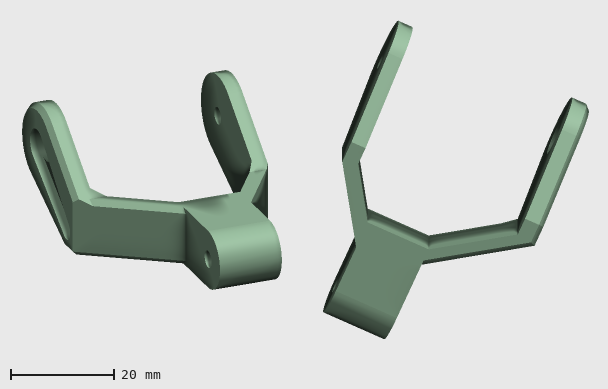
import cadquery as cq
import math


BOSS_RADIUS = 6.0
BOSS_WIDTH = 13.0
BOSS_INNER_X = -15.0
PIN_DIAMETER = 3.5

PIVOT_X = -42.0
PIVOT_Z = 10.0
PIVOT_RADIUS = 8.5
LEG_THICKNESS = 3.0
BACK_PLATE_THICKNESS = 3.0
FRONT_PLATE_THICKNESS = 4.0
BACK_PLATE_INNER_Y = 13.0
FRONT_PLATE_INNER_Y = -21.0
KNEE_INNER_X = -24.85
UPPER_BEND_X = -23.0
LOWER_BEND_X = -28.3
OUTER_CHAMFER = 1.0

FRONT_BORE_DIAMETER = 7.0
POCKET_TIP_X = -27.2
POCKET_TIP_Z = -1.7
POCKET_TIP_RADIUS = 2.0
POCKET_DEPTH = 2.0

HALF_WIDTH = BOSS_WIDTH / 2
BACK_Y = BACK_PLATE_INNER_Y + BACK_PLATE_THICKNESS
FRONT_Y = FRONT_PLATE_INNER_Y - FRONT_PLATE_THICKNESS
PLATE_END_X = PIVOT_X - PIVOT_RADIUS
TOP_Z = PIVOT_Z + PIVOT_RADIUS
BOTTOM_Z = -BOSS_RADIUS

TOLERANCE = 1e-3


def point_on_circle(center, radius, angle):
    """Point on a circle at an angle in radians."""
    return (center[0] + radius * math.cos(angle), center[1] + radius * math.sin(angle))


def tangent_angle(center, radius, point, side):
    """Angle of the point where a line from an outside point touches a circle (side = +1 or -1)."""
    dx = point[0] - center[0]
    dz = point[1] - center[1]
    return math.atan2(dz, dx) + side * math.acos(radius / math.hypot(dx, dz))


def extrude_along_y(wire, y_start, y_end):
    """Turn a closed XZ wire into a solid between two Y positions."""
    return wire.extrude(-(y_end - y_start)).translate((0, y_start, 0))


def side_profile():
    """Bent arm in XZ: pivot round, two tangent flanks and the round boss end."""
    pivot = (PIVOT_X, PIVOT_Z)
    upper_bend = (UPPER_BEND_X, BOSS_RADIUS)
    lower_bend = (LOWER_BEND_X, -BOSS_RADIUS)
    upper_angle = tangent_angle(pivot, PIVOT_RADIUS, upper_bend, 1)
    lower_angle = tangent_angle(pivot, PIVOT_RADIUS, lower_bend, -1)
    return (
        cq.Workplane("XZ")
        .moveTo(*lower_bend)
        .lineTo(0, -BOSS_RADIUS)
        .threePointArc((BOSS_RADIUS, 0), (0, BOSS_RADIUS))
        .lineTo(*upper_bend)
        .lineTo(*point_on_circle(pivot, PIVOT_RADIUS, upper_angle))
        .threePointArc((PLATE_END_X, PIVOT_Z), point_on_circle(pivot, PIVOT_RADIUS, lower_angle))
        .close()
    )


def leg_outer_x(plate_inner_y, y):
    """X of a leg's outer face at a given Y; the face is parallel to the leg's inner face."""
    run = BOSS_INNER_X - KNEE_INNER_X
    rise = abs(plate_inner_y) - HALF_WIDTH
    inner_x = BOSS_INNER_X - (abs(y) - HALF_WIDTH) * run / rise
    return inner_x + LEG_THICKNESS * math.hypot(run, rise) / rise


def plan_outline():
    """Fork outline in XY: boss, two slanted legs and two parallel plates."""
    return cq.Workplane("XY").polyline(
        [
            (BOSS_RADIUS, HALF_WIDTH),
            (leg_outer_x(BACK_PLATE_INNER_Y, HALF_WIDTH), HALF_WIDTH),
            (leg_outer_x(BACK_PLATE_INNER_Y, BACK_Y), BACK_Y),
            (PLATE_END_X, BACK_Y),
            (PLATE_END_X, BACK_PLATE_INNER_Y),
            (KNEE_INNER_X, BACK_PLATE_INNER_Y),
            (BOSS_INNER_X, HALF_WIDTH),
            (BOSS_INNER_X, -HALF_WIDTH),
            (KNEE_INNER_X, FRONT_PLATE_INNER_Y),
            (PLATE_END_X, FRONT_PLATE_INNER_Y),
            (PLATE_END_X, FRONT_Y),
            (leg_outer_x(FRONT_PLATE_INNER_Y, FRONT_Y), FRONT_Y),
            (leg_outer_x(FRONT_PLATE_INNER_Y, -HALF_WIDTH), -HALF_WIDTH),
            (BOSS_RADIUS, -HALF_WIDTH),
        ]
    ).close()


def fork_body():
    """Solid that has both the side profile and the plan outline."""
    arm = extrude_along_y(side_profile(), FRONT_Y, BACK_Y)
    plan = plan_outline().extrude(TOP_Z - BOTTOM_Z).translate((0, 0, BOTTOM_Z))
    return arm.intersect(plan)


def is_level(edge):
    """True for an edge that stays at one Z."""
    return edge.BoundingBox().zlen < TOLERANCE


def is_vertical(edge):
    """True for an edge parallel to Z."""
    box = edge.BoundingBox()
    return box.xlen < TOLERANCE and box.ylen < TOLERANCE


def chamfer_front_rim(body):
    """Chamfer the outer rim of the front plate and the level outer edges of the front leg."""
    plate_face = body.faces("<Y").val()
    leg_middle_y = (FRONT_Y - HALF_WIDTH) / 2
    leg_middle = (leg_outer_x(FRONT_PLATE_INNER_Y, leg_middle_y), leg_middle_y, 0)
    leg_face = body.faces(cq.selectors.NearestToPointSelector(leg_middle)).val()
    plate_rim = [edge for edge in plate_face.Edges() if not is_vertical(edge)]
    leg_rim = [edge for edge in leg_face.Edges() if is_level(edge)]
    return body.newObject(plate_rim + leg_rim).chamfer(OUTER_CHAMFER)


def cylinder_along_y(x, z, diameter, y_start, y_end):
    """Round cutter parallel to Y."""
    return extrude_along_y(cq.Workplane("XZ").center(x, z).circle(diameter / 2), y_start, y_end)


def pocket_cutter():
    """Tapered slot whose sides leave the front bore as tangents and end in a smaller rounded tip."""
    bore = (PIVOT_X, PIVOT_Z)
    tip = (POCKET_TIP_X, POCKET_TIP_Z)
    bore_radius = FRONT_BORE_DIAMETER / 2
    length = math.hypot(tip[0] - bore[0], tip[1] - bore[1])
    axis_angle = math.atan2(tip[1] - bore[1], tip[0] - bore[0])
    spread = math.acos((bore_radius - POCKET_TIP_RADIUS) / length)
    wire = (
        cq.Workplane("XZ")
        .moveTo(*point_on_circle(bore, bore_radius, axis_angle + spread))
        .lineTo(*point_on_circle(tip, POCKET_TIP_RADIUS, axis_angle + spread))
        .threePointArc(
            point_on_circle(tip, POCKET_TIP_RADIUS, axis_angle),
            point_on_circle(tip, POCKET_TIP_RADIUS, axis_angle - spread),
        )
        .lineTo(*point_on_circle(bore, bore_radius, axis_angle - spread))
        .close()
    )
    return extrude_along_y(wire, FRONT_Y, FRONT_Y + POCKET_DEPTH)


body = chamfer_front_rim(fork_body())
boss_hole = cylinder_along_y(0, 0, PIN_DIAMETER, -HALF_WIDTH, HALF_WIDTH)
back_hole = cylinder_along_y(PIVOT_X, PIVOT_Z, PIN_DIAMETER, BACK_PLATE_INNER_Y, BACK_Y)
front_bore = cylinder_along_y(PIVOT_X, PIVOT_Z, FRONT_BORE_DIAMETER, FRONT_Y, FRONT_PLATE_INNER_Y)

result = body.cut(boss_hole).cut(back_hole).cut(front_bore).cut(pocket_cutter())